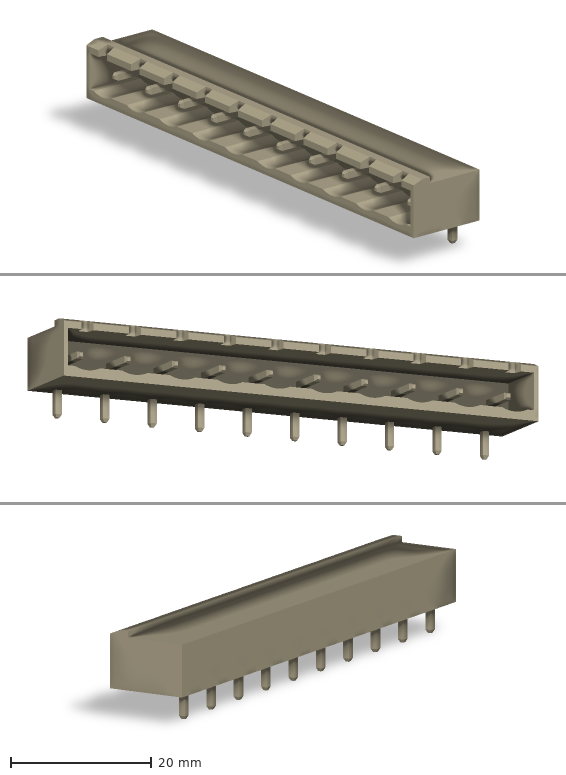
import cadquery as cq

pole_count = 10
pitch = 7.5
length = pole_count * pitch
depth = 12.0
body_height = 7.7

lip_height = 0.9
lip_depth = 3.0
lip_slope_depth = 1.5
lip_slope_drop = 0.6
lip_top = body_height + lip_height

end_wall = 0.7
floor_z = 1.55
ceiling_z = 7.0
cavity_depth = 8.5
cavity_length = length - 2 * end_wall

trough_width = 4.0
trough_sag = 0.45

slot_front_width = 1.95
slot_back_width = 1.5
slot_depth = lip_slope_depth

pin_size = 1.0
pin_tip_size = 0.5
pin_tip_length = 0.5
pin_axis_z = 3.75
pin_tip_y = 2.0
leg_y = depth - 2.0
leg_tip_z = -4.0

pole_positions = [(i - (pole_count - 1) / 2) * pitch for i in range(pole_count)]


def make_body():
    """Side profile of the housing with its front lip, extruded along the row."""
    return (
        cq.Workplane("YZ")
        .polyline([
            (0, 0),
            (depth, 0),
            (depth, body_height),
            (lip_depth, body_height),
            (lip_depth, lip_top),
            (lip_slope_depth, lip_top),
            (0, lip_top - lip_slope_drop),
        ])
        .close()
        .extrude(length / 2, both=True)
    )


def make_cavity():
    """Cavity cross-section, its lower edge dipping in an arc at each pole."""
    half_length = cavity_length / 2
    section = (
        cq.Workplane("XZ")
        .moveTo(-half_length, ceiling_z)
        .lineTo(-half_length, floor_z)
    )
    for x in pole_positions:
        section = section.lineTo(x - trough_width / 2, floor_z).threePointArc(
            (x, floor_z - trough_sag), (x + trough_width / 2, floor_z)
        )
    section = section.lineTo(half_length, floor_z).lineTo(half_length, ceiling_z)
    return section.close().extrude(-cavity_depth)


def make_slot(x):
    """Latch slot through the lip, narrowing from the front towards the back."""
    return (
        cq.Workplane("XY", origin=(x, 0, ceiling_z))
        .polyline([
            (-slot_front_width / 2, 0),
            (slot_front_width / 2, 0),
            (slot_back_width / 2, slot_depth),
            (-slot_back_width / 2, slot_depth),
        ])
        .close()
        .extrude(lip_top - ceiling_z)
    )


def make_bar(start, direction, bar_length):
    """Square bar from start along direction, ending in a tapered tip."""
    straight_length = bar_length - pin_tip_length
    bar = (
        cq.Workplane(cq.Plane(origin=start, xDir=(1, 0, 0), normal=direction))
        .rect(pin_size, pin_size)
        .extrude(straight_length)
    )
    tip = (
        bar.faces(cq.selectors.DirectionMinMaxSelector(cq.Vector(direction), True))
        .workplane(centerOption="CenterOfMass")
        .rect(pin_size, pin_size)
        .workplane(offset=pin_tip_length)
        .rect(pin_tip_size, pin_tip_size)
        .loft(combine=False)
    )
    return bar.union(tip)


def make_pin(x):
    """Right-angled pin: a contact towards the front and a solder leg down."""
    contact = make_bar((x, leg_y, pin_axis_z), (0, -1, 0), leg_y - pin_tip_y)
    leg = make_bar((x, leg_y, pin_axis_z), (0, 0, -1), pin_axis_z - leg_tip_z)
    return contact.union(leg)


result = make_body().cut(make_cavity())
for pole_x in pole_positions:
    result = result.cut(make_slot(pole_x))
for pole_x in pole_positions:
    result = result.union(make_pin(pole_x))